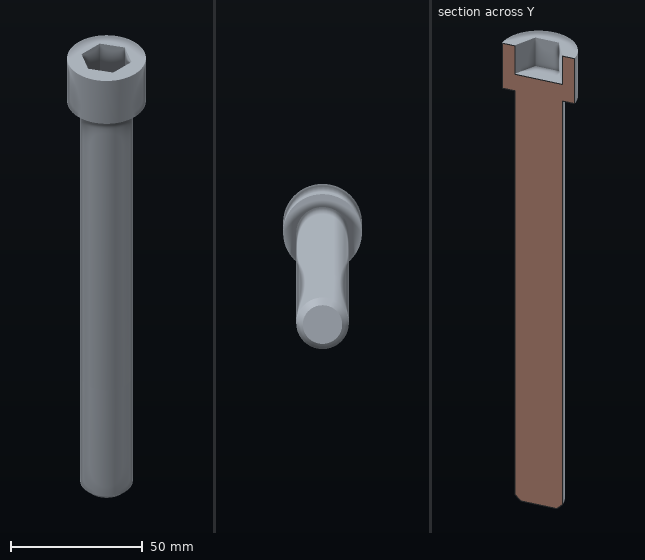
import cadquery as cq
import math

shank_diameter = 20.0
shank_length = 180.0
thread_length = 52.0
head_diameter = 1.5 * shank_diameter
head_height = shank_diameter

socket_across_flats = 17.0
socket_depth = 12.5
socket_across_corners = socket_across_flats / math.cos(math.radians(30))

point_chamfer = 2.5


def make_head():
    """Cylindrical head above the bearing face."""
    return cq.Workplane("XY").circle(head_diameter / 2).extrude(head_height)


def make_plain_shank():
    """Unthreaded length directly below the head."""
    return cq.Workplane("XY").circle(shank_diameter / 2).extrude(thread_length - shank_length)


def make_thread_section():
    """Threaded length, modelled as a plain cylinder with a chamfered end."""
    return (
        cq.Workplane("XY", origin=(0, 0, -shank_length))
        .circle(shank_diameter / 2)
        .extrude(thread_length)
        .faces("<Z")
        .chamfer(point_chamfer)
    )


def make_socket():
    """Hexagonal recess cut down from the top of the head."""
    return (
        cq.Workplane("XY", origin=(0, 0, head_height))
        .polygon(6, socket_across_corners)
        .extrude(-socket_depth)
    )


shank = make_plain_shank().union(make_thread_section(), clean=False)
result = make_head().union(shank, clean=False).cut(make_socket(), clean=False)